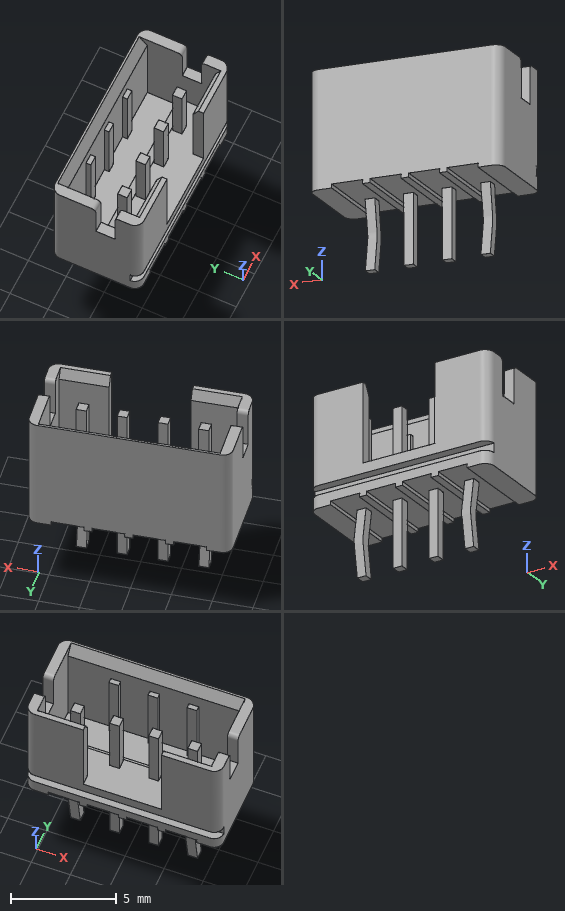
import cadquery as cq

LENGTH = 10.0
WIDTH = 4.7
HEIGHT = 6.05
CORNER_RADIUS = 0.5
WALL = 0.55
FRONT_Y = -WIDTH / 2
BACK_Y = WIDTH / 2

CAVITY_LENGTH = LENGTH - 2 * WALL
FLOOR_Z = 1.75
LOW_FLOOR_Z = 1.05
RAMP_START_Y = FRONT_Y + 2.07
RAMP_END_Y = FRONT_Y + 2.67

LEAD_IN_HEIGHT = 0.5
BACK_RIM = 0.12
FRONT_RIM = 0.27

WINDOW_LENGTH = 4.0
SLOT_WIDTH = 1.0
SLOT_DEPTH = 2.0
SLOT_CENTER_Y = FRONT_Y + 1.8
SLOT_EDGE_RADIUS = 0.25
GROOVE_DEPTH = 0.5
GROOVE_BOTTOM_Z = 0.7
GROOVE_HEIGHT = 0.5
RECESS_LENGTH = 1.6
RECESS_HEIGHT = 0.2

PITCH = 2.0
PIN_COUNT = 4
PIN_SIZE = 0.5
PIN_Y = FRONT_Y + 1.75
PIN_TOP_Z = HEIGHT - 0.95
PIN_BOTTOM_Z = -3.4
KINK_OFFSET = 0.3
KINK_RADIUS = 1.0
PIN_XS = [(i - (PIN_COUNT - 1) / 2) * PITCH for i in range(PIN_COUNT)]

RIB_SIZE = 0.5
RIB_DEPTH = 0.25
RIB_TOP_Z = HEIGHT - 1.2
RIB_XS = [x + PITCH / 2 for x in PIN_XS[:-1]]


def block(x_size, y_min, y_max, z_min, z_max, x_center=0.0):
    """Box centred on x_center and spanning the given Y and Z ranges."""
    size = (x_size, y_max - y_min, z_max - z_min)
    return cq.Workplane("XY").box(*size, centered=(True, False, False)).translate((x_center, y_min, z_min))


def extrude_along_x(points, length, x_center=0.0):
    """Closed (Y, Z) outline extruded along X, symmetric about x_center."""
    profile = cq.Workplane("YZ").polyline(points).close()
    return profile.extrude(length / 2, both=True).translate((x_center, 0, 0))


def make_cavity():
    front_wall_y = FRONT_Y + WALL
    back_wall_y = BACK_Y - WALL
    lead_in_z = HEIGHT - LEAD_IN_HEIGHT
    section = [
        (front_wall_y, FLOOR_Z),
        (RAMP_START_Y, FLOOR_Z),
        (RAMP_END_Y, LOW_FLOOR_Z),
        (back_wall_y, LOW_FLOOR_Z),
        (back_wall_y, lead_in_z),
        (BACK_Y - BACK_RIM, HEIGHT),
        (FRONT_Y + FRONT_RIM, HEIGHT),
        (front_wall_y, lead_in_z),
    ]
    return extrude_along_x(section, CAVITY_LENGTH)


def make_housing():
    housing = block(LENGTH, FRONT_Y, BACK_Y, 0, HEIGHT).edges("|Z").fillet(CORNER_RADIUS)
    housing = housing.cut(make_cavity())

    housing = housing.cut(block(WINDOW_LENGTH, FRONT_Y, FRONT_Y + WALL, FLOOR_Z, HEIGHT))

    slot_front_y = SLOT_CENTER_Y - SLOT_WIDTH / 2
    slot_back_y = SLOT_CENTER_Y + SLOT_WIDTH / 2
    housing = housing.cut(block(LENGTH, slot_front_y, slot_back_y, HEIGHT - SLOT_DEPTH, HEIGHT))
    for end in (-1, 1):
        for y in (slot_front_y, slot_back_y):
            rim_corner = cq.NearestToPointSelector((end * (LENGTH - WALL) / 2, y, HEIGHT))
            housing = housing.edges("|X").edges(rim_corner).fillet(SLOT_EDGE_RADIUS)

    groove_top_z = GROOVE_BOTTOM_Z + GROOVE_HEIGHT
    housing = housing.cut(block(LENGTH, FRONT_Y, FRONT_Y + GROOVE_DEPTH, GROOVE_BOTTOM_Z, groove_top_z))

    for x in PIN_XS:
        housing = housing.cut(block(RECESS_LENGTH, FRONT_Y, BACK_Y, 0, RECESS_HEIGHT, x))
    return housing


def make_rib(x):
    wall_y = BACK_Y - WALL
    return block(RIB_SIZE, wall_y - RIB_DEPTH, wall_y, LOW_FLOOR_Z, RIB_TOP_Z, x)


def make_straight_pin(x):
    return block(PIN_SIZE, PIN_Y - PIN_SIZE / 2, PIN_Y + PIN_SIZE / 2, PIN_BOTTOM_Z, PIN_TOP_Z, x)


def make_kinked_pin(x):
    """Pin whose tail bows toward the front, so that it grips the board hole."""
    front_y = PIN_Y - PIN_SIZE / 2
    back_y = PIN_Y + PIN_SIZE / 2
    kink_z = (RECESS_HEIGHT + PIN_BOTTOM_Z) / 2
    outline = [
        (front_y, PIN_TOP_Z),
        (front_y, RECESS_HEIGHT),
        (front_y - KINK_OFFSET, kink_z),
        (front_y, PIN_BOTTOM_Z),
        (back_y, PIN_BOTTOM_Z),
        (back_y - KINK_OFFSET, kink_z),
        (back_y, RECESS_HEIGHT),
        (back_y, PIN_TOP_Z),
    ]
    pin = extrude_along_x(outline, PIN_SIZE, x)
    for y in (front_y, back_y):
        kink_corner = cq.NearestToPointSelector((x, y - KINK_OFFSET, kink_z))
        pin = pin.edges("|X").edges(kink_corner).fillet(KINK_RADIUS)
    return pin


result = make_housing()
for rib_x in RIB_XS:
    result = result.union(make_rib(rib_x))
for pin_x in PIN_XS[1:-1]:
    result = result.union(make_straight_pin(pin_x))
for pin_x in (PIN_XS[0], PIN_XS[-1]):
    result = result.union(make_kinked_pin(pin_x))